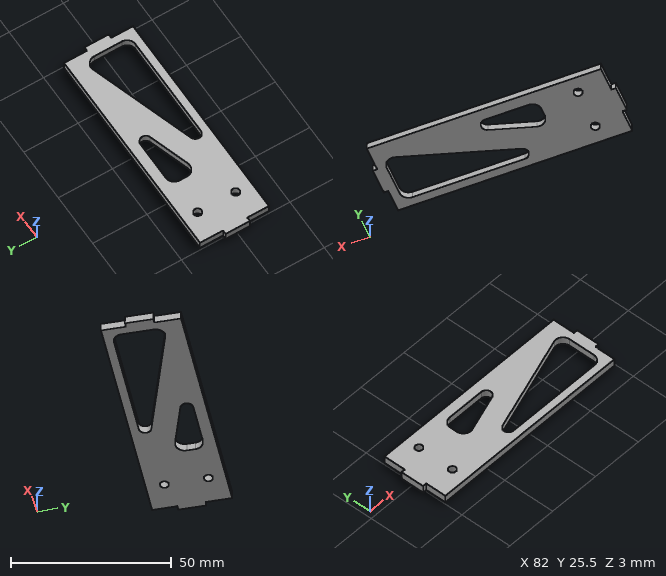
import cadquery as cq

BODY_LENGTH = 79.0
BODY_WIDTH = 25.5
THICKNESS = 3.0

TAB_LENGTH = 1.5
TAB_WIDTH = 9.0
TAB_BOTTOM = 8.0

HOLE_DIAMETER = 2.8
HOLE_X = 10.0
HOLE_YS = (6.0, 20.0)

SHARP_CORNER_RADIUS = 2.0
WIDE_CORNER_RADIUS = 3.0

LOWER_WINDOW_MARGIN = 3.0
LOWER_WINDOW_LENGTH = 53.7
LOWER_WINDOW_HEIGHT = 17.33
LOWER_WINDOW_BOTTOM = LOWER_WINDOW_MARGIN
LOWER_WINDOW_RIGHT = BODY_LENGTH - LOWER_WINDOW_MARGIN

UPPER_WINDOW_MARGIN = 4.0
UPPER_WINDOW_LEFT = 23.0
UPPER_WINDOW_LENGTH = 30.55
UPPER_WINDOW_HEIGHT = UPPER_WINDOW_LENGTH * LOWER_WINDOW_HEIGHT / LOWER_WINDOW_LENGTH
UPPER_WINDOW_TOP = BODY_WIDTH - UPPER_WINDOW_MARGIN


def make_plate():
    """Rectangular plate with one locating tab on each end."""
    body = cq.Workplane("XY").box(BODY_LENGTH, BODY_WIDTH, THICKNESS, centered=False)
    tab_bar = (
        cq.Workplane("XY")
        .box(BODY_LENGTH + 2 * TAB_LENGTH, TAB_WIDTH, THICKNESS, centered=False)
        .translate((-TAB_LENGTH, TAB_BOTTOM, 0))
    )
    return body.union(tab_bar)


def make_holes():
    """Cylinders for the pair of mounting holes."""
    centers = [(HOLE_X, y) for y in HOLE_YS]
    return cq.Workplane("XY").pushPoints(centers).circle(HOLE_DIAMETER / 2).extrude(THICKNESS)


def make_window(sharp_corner, square_corner, far_corner):
    """Triangular prism with its vertical edges rounded, the sharp corner more tightly."""
    corners = [sharp_corner, square_corner, far_corner]
    prism = cq.Workplane("XY").polyline(corners).close().extrude(THICKNESS)
    mid_height = THICKNESS / 2
    sharp_edge = cq.selectors.NearestToPointSelector((*sharp_corner, mid_height))
    prism = prism.edges(sharp_edge).fillet(SHARP_CORNER_RADIUS)
    for corner in (square_corner, far_corner):
        wide_edge = cq.selectors.NearestToPointSelector((*corner, mid_height))
        prism = prism.edges(wide_edge).fillet(WIDE_CORNER_RADIUS)
    return prism


upper_window = make_window(
    sharp_corner=(UPPER_WINDOW_LEFT + UPPER_WINDOW_LENGTH, UPPER_WINDOW_TOP),
    square_corner=(UPPER_WINDOW_LEFT, UPPER_WINDOW_TOP),
    far_corner=(UPPER_WINDOW_LEFT, UPPER_WINDOW_TOP - UPPER_WINDOW_HEIGHT),
)
lower_window = make_window(
    sharp_corner=(LOWER_WINDOW_RIGHT - LOWER_WINDOW_LENGTH, LOWER_WINDOW_BOTTOM),
    square_corner=(LOWER_WINDOW_RIGHT, LOWER_WINDOW_BOTTOM),
    far_corner=(LOWER_WINDOW_RIGHT, LOWER_WINDOW_BOTTOM + LOWER_WINDOW_HEIGHT),
)

result = make_plate().cut(make_holes()).cut(upper_window).cut(lower_window)